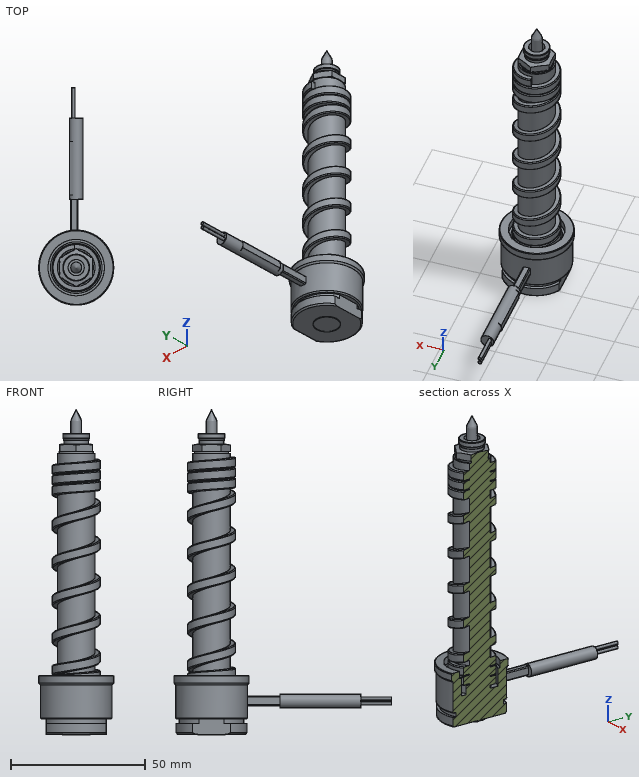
import cadquery as cq
import math


foot_radius = 5.1
foot_height = 0.35
nut_radius = 13.25
nut_chamfer = 0.6
nut_top = 4.4
nut_flat_width = 22.4
neck_radius = 12.1
cup_bottom = 6.0
cup_radius = 13.4
cup_chamfer = 0.5
flange_radius = 14.0
flange_lead_height = 0.7
flange_bottom = 19.4
flange_chamfer = 0.3
flange_top = 22.25
recess_radius = 10.5
spring_bore_radius = 9.6

rod_radius = 7.0
rod_top = 104.85
hex_across_flats = 12.3
hex_turn = 30.0
hex_bottom = 105.5
hex_corner_top = 108.0
hex_top = 108.4
hex_neck_radius = 6.4
collar_root_radius = 4.6
collar_radius = 5.0
collar_chamfer = 0.25
collar_lip_bottom = 110.3
collar_ring_bottom = 109.6
collar_top = 112.35
socket_radius = 3.0
pin_radius = 2.05
pin_tip_radius = 1.9
pin_shoulder = 116.8
pin_cone_bottom = 117.4
pin_top = 121.2

wire_height = 3.6
wire_chamfer = 0.4
spring_outer_radius = 9.0
spring_inner_radius = rod_radius - 0.1
closed_pitch = 3.87
open_pitch = 14.0
closed_angle = 952.0
ramp_angle = 157.0
open_angle = 1529.0
closed_end_angle = 180.0
closed_end_height = 24.25
spring_steps_per_turn = 16

cable_height = 12.75
cord_center_x = -0.7
cord_width = 2.8
cord_thickness = 3.6
cord_chamfer = 0.4
sleeve_radius = 2.55
sleeve_start = 25.4
sleeve_end = 55.6
pad_start = 27.1
pad_end = 47.0
pad_face_half_height = 1.43
pad_edge_x = -1.3
wire_radius = 0.65
wire_center_x = -1.05
wire_spacing = 1.8
cable_end = 67.0


def revolved(profile):
    """Turn an (r, z) outline about the Z axis."""
    return cq.Workplane("XZ").polyline(profile).close().revolve(360, (0, 0), (0, 1))


def make_base(recess_floor):
    base = revolved([
        (0, 0),
        (foot_radius, 0),
        (foot_radius, foot_height),
        (nut_radius - nut_chamfer, foot_height),
        (nut_radius, foot_height + nut_chamfer),
        (nut_radius, nut_top),
        (neck_radius, nut_top),
        (neck_radius, cup_bottom),
        (cup_radius - cup_chamfer, cup_bottom),
        (cup_radius, cup_bottom + cup_chamfer),
        (cup_radius, flange_bottom - flange_lead_height),
        (flange_radius, flange_bottom),
        (flange_radius, flange_top - flange_chamfer),
        (flange_radius - flange_chamfer, flange_top),
        (recess_radius, flange_top),
        (recess_radius, flange_bottom),
        (spring_bore_radius, flange_bottom),
        (spring_bore_radius, recess_floor),
        (0, recess_floor),
    ])
    flat_depth = nut_radius
    for side in (-1, 1):
        flat_cut = cq.Workplane("XY").box(
            flat_depth, 2 * nut_radius, cup_bottom, centered=(True, True, False)
        )
        base = base.cut(flat_cut.translate((side * (nut_flat_width + flat_depth) / 2, 0, 0)))
    return base


def make_stem(bottom):
    rod = revolved([
        (0, bottom),
        (rod_radius, bottom),
        (rod_radius, rod_top),
        (hex_neck_radius, rod_top),
        (hex_neck_radius, hex_bottom),
        (0, hex_bottom),
    ])
    hex_corner_radius = hex_across_flats / math.sqrt(3)
    hexagon = (
        cq.Workplane("XY", origin=(0, 0, hex_bottom))
        .polygon(6, 2 * hex_corner_radius)
        .extrude(hex_top - hex_bottom)
        .rotate((0, 0, 0), (0, 0, 1), hex_turn)
    )
    hex_crown = revolved([
        (0, hex_bottom),
        (hex_corner_radius, hex_bottom),
        (hex_corner_radius, hex_corner_top),
        (collar_radius, hex_top),
        (0, hex_top),
    ])
    collar = revolved([
        (0, hex_top),
        (collar_root_radius, hex_top),
        (collar_root_radius, collar_ring_bottom),
        (collar_radius - collar_chamfer, collar_ring_bottom),
        (collar_radius - collar_chamfer, collar_lip_bottom),
        (collar_radius, collar_lip_bottom + collar_chamfer),
        (collar_radius, collar_top - collar_chamfer),
        (collar_radius - collar_chamfer, collar_top),
        (socket_radius, collar_top),
        (socket_radius, hex_top),
    ])
    pin = revolved([
        (0, hex_top),
        (pin_radius, hex_top),
        (pin_radius, pin_shoulder),
        (pin_tip_radius, pin_cone_bottom),
        (0, pin_top),
    ])
    return rod.union(hexagon.intersect(hex_crown)).union(collar).union(pin)


def spring_stretches():
    """List the coil stretches, from the bottom, as (angle, start pitch, end pitch)."""
    return [
        (closed_angle, closed_pitch, closed_pitch),
        (ramp_angle, closed_pitch, open_pitch),
        (open_angle, open_pitch, open_pitch),
        (ramp_angle, open_pitch, closed_pitch),
        (closed_angle, closed_pitch, closed_pitch),
    ]


def make_coil(start_angle, start_height, angle, start_pitch, end_pitch):
    """Skin the wire between coiled edges, with a pitch that changes evenly from start to end."""
    half_height = wire_height / 2
    section = [
        (spring_inner_radius, -half_height),
        (spring_outer_radius - wire_chamfer, -half_height),
        (spring_outer_radius, wire_chamfer - half_height),
        (spring_outer_radius, half_height - wire_chamfer),
        (spring_outer_radius - wire_chamfer, half_height),
        (spring_inner_radius, half_height),
    ]
    step_count = math.ceil(angle / 360 * spring_steps_per_turn)

    def coil_point(radius, height, t):
        turn = math.radians(start_angle + t * angle)
        rise = angle / 360 * (start_pitch * t + (end_pitch - start_pitch) * t**2 / 2)
        return cq.Vector(radius * math.cos(turn), radius * math.sin(turn), start_height + height + rise)

    def coiled_edge(radius, height):
        return cq.Edge.makeSpline(
            [coil_point(radius, height, step / step_count) for step in range(step_count + 1)]
        )

    edges = [coiled_edge(*corner) for corner in section]
    faces = [cq.Face.makeRuledSurface(edges[i - 1], edges[i]) for i in range(len(edges))]
    for t in (0, 1):
        outline = cq.Wire.makePolygon([coil_point(*corner, t) for corner in section], close=True)
        faces.append(cq.Face.makeFromWires(outline))
    return cq.Workplane(cq.Solid.makeSolid(cq.Shell.makeShell(faces)))


def make_cable():
    """Build the cord, sleeve and wires along Y; local x of the XZ plane is X, local y is Z."""

    def along_y(y):
        return cq.Workplane("XZ", origin=(0, y, cable_height))

    cord_start = (spring_bore_radius + cup_radius) / 2
    cord = (
        along_y(cord_start)
        .center(cord_center_x, 0)
        .rect(cord_width, cord_thickness)
        .extrude(cord_start - sleeve_start)
        .edges("|Y")
        .chamfer(cord_chamfer)
    )
    sleeve = along_y(sleeve_start).circle(sleeve_radius).extrude(sleeve_start - sleeve_end)
    pad_edge_z = math.sqrt(sleeve_radius**2 - pad_edge_x**2)
    pad = (
        along_y(pad_start)
        .polyline([
            (0, pad_edge_z),
            (pad_edge_x, pad_edge_z),
            (-sleeve_radius, pad_face_half_height),
            (-sleeve_radius, -pad_face_half_height),
            (pad_edge_x, -pad_edge_z),
            (0, -pad_edge_z),
        ])
        .close()
        .extrude(pad_start - pad_end)
    )
    wires = (
        along_y(sleeve_end)
        .pushPoints([(wire_center_x, side * wire_spacing / 2) for side in (-1, 1)])
        .circle(wire_radius)
        .extrude(sleeve_end - cable_end)
    )
    return cord.union(sleeve).union(pad).union(wires)


closed_rise = closed_angle / 360 * closed_pitch
spring_bottom = closed_end_height - closed_rise
recess_floor = spring_bottom - wire_height / 2

coils = []
coil_angle = closed_end_angle - closed_angle
coil_height = spring_bottom
for angle, start_pitch, end_pitch in spring_stretches():
    coils.append(make_coil(coil_angle, coil_height, angle, start_pitch, end_pitch))
    coil_angle += angle
    coil_height += angle / 360 * (start_pitch + end_pitch) / 2

body = make_base(recess_floor).union(make_stem(recess_floor)).union(make_cable())
result = cq.Workplane(body.val().fuse(*[coil.val() for coil in coils]))